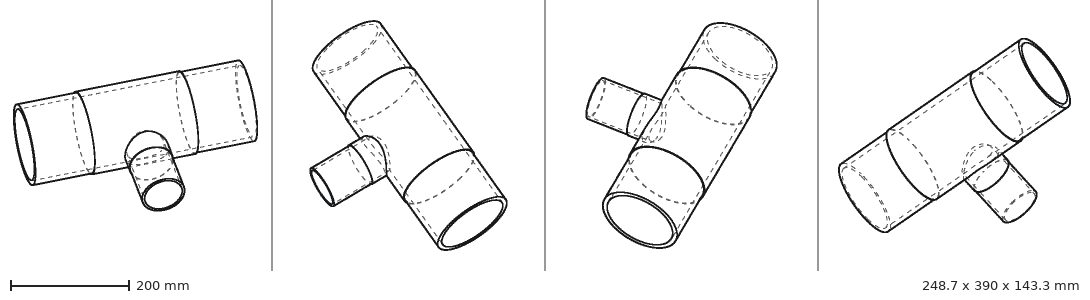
import cadquery as cq

run_length = 390.0
run_diameter = 140.0
run_bore = 123.4
body_diameter = 143.32
spigot_length = 104.0
body_length = run_length - 2 * spigot_length

branch_reach = 177.0
branch_diameter = 75.0
branch_bore = 66.0
collar_diameter = 76.8
branch_spigot_length = 77.0
collar_reach = branch_reach - branch_spigot_length


def run_cylinder(diameter, length):
    """Cylinder along Y, centred on the origin."""
    return cq.Workplane("XZ").circle(diameter / 2).extrude(length / 2, both=True)


def branch_cylinder(diameter, reach):
    """Cylinder along +X, starting on the run axis."""
    return cq.Workplane("YZ").circle(diameter / 2).extrude(reach)


def outer_shape():
    """Solid tee: stepped run joined to the stepped branch."""
    run = run_cylinder(run_diameter, run_length).union(run_cylinder(body_diameter, body_length))
    collar = branch_cylinder(collar_diameter, collar_reach)
    spigot = branch_cylinder(branch_diameter, branch_reach)
    return run.union(collar).union(spigot)


def bores():
    """Connected passages through the run and the branch."""
    return run_cylinder(run_bore, run_length).union(branch_cylinder(branch_bore, branch_reach))


result = outer_shape().cut(bores())